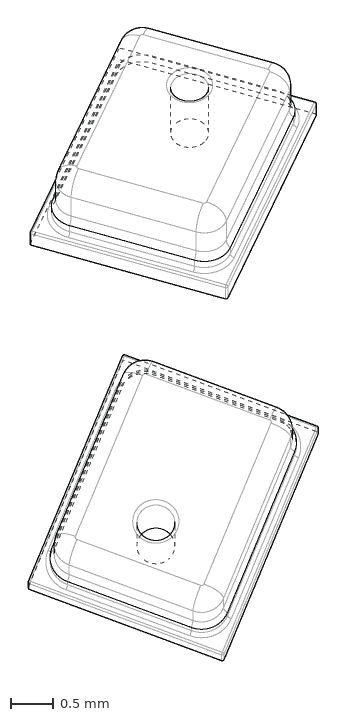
import cadquery as cq
import math

ARC_MID_OFFSET = 1 - math.cos(math.radians(45))

length_x = 2.5
length_y = 3.1
height = 1.1

base_height = 0.23
base_edge_radius = 0.025

foot_inset = 0.13
foot_top = 0.39
foot_fillet = 0.05
body_inset = 0.18
cove_top = 0.51
body_corner_radius = 0.28
top_edge_radius = 0.25
skirt_overlap = 0.14

port_diameter = 0.45
port_y = 0.565
port_rim_radius = 0.05

cove_height = cove_top - foot_top
cove_width = body_inset - foot_inset
cove_radius = (cove_height**2 + cove_width**2) / (2 * cove_width)
cove_half_angle = math.asin(cove_height / cove_radius) / 2


def rounded_block(inset, corner_radius, bottom, top):
    """Upright block, inset from the plate outline, with rounded vertical edges."""
    return (
        cq.Workplane("XY", origin=(0, 0, bottom))
        .rect(length_x - 2 * inset, length_y - 2 * inset)
        .extrude(top - bottom)
        .edges("|Z")
        .fillet(corner_radius)
    )


def make_base():
    plate = rounded_block(0, base_edge_radius, 0, base_height)
    return plate.faces(">Z").edges().fillet(base_edge_radius)


def make_body():
    body = rounded_block(body_inset, body_corner_radius, base_height, height)
    return body.faces(">Z").edges().fillet(top_edge_radius)


def make_skirt():
    """Foot and cove: one profile swept around the outline of the body."""
    body_x = length_x / 2 - body_inset
    body_y = length_y / 2 - body_inset
    path = (
        cq.Workplane("XY", origin=(0, 0, base_height))
        .rect(2 * body_x, 2 * body_y)
        .extrude(height)
        .edges("|Z")
        .fillet(body_corner_radius)
        .faces("<Z")
        .wires()
    )
    inner_x = body_x - skirt_overlap
    foot_x = length_x / 2 - foot_inset
    cove_mid_x = body_x + cove_radius * (1 - math.cos(cove_half_angle))
    cove_mid_z = cove_top - cove_radius * math.sin(cove_half_angle)
    fillet_mid = foot_fillet * ARC_MID_OFFSET
    profile = (
        cq.Workplane("XZ")
        .moveTo(inner_x, base_height)
        .lineTo(foot_x + foot_fillet, base_height)
        .threePointArc(
            (foot_x + fillet_mid, base_height + fillet_mid),
            (foot_x, base_height + foot_fillet),
        )
        .lineTo(foot_x, foot_top)
        .threePointArc((cove_mid_x, cove_mid_z), (body_x, cove_top))
        .lineTo(inner_x, cove_top)
        .close()
    )
    return profile.sweep(path)


def make_port():
    """Cutter for the port, flared by its rounded rim."""
    radius = port_diameter / 2
    rim_mid = port_rim_radius * ARC_MID_OFFSET
    return (
        cq.Workplane("XZ")
        .moveTo(0, base_height)
        .lineTo(radius, base_height)
        .lineTo(radius, height - port_rim_radius)
        .threePointArc((radius + rim_mid, height - rim_mid), (radius + port_rim_radius, height))
        .lineTo(0, height)
        .close()
        .revolve(360, (0, 0, 0), (0, 1, 0))
        .translate((0, port_y, 0))
    )


result = make_base().union(make_body()).union(make_skirt()).cut(make_port())